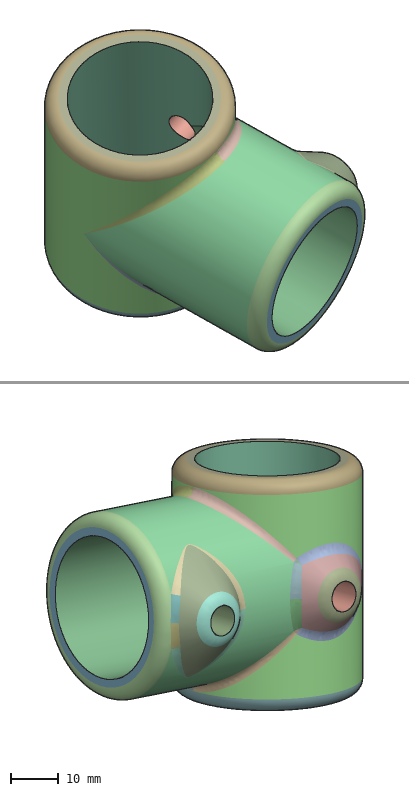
import cadquery as cq
import math

overall_length = 65.0
tube_diameter = 40.0
bore_diameter = 30.4
tube_height = 50.0
end_round = 3.0
junction_fillet = 1.95

boss_height = 25.0
boss_spacing = 33.0
boss_taper = 41.0
boss_top_radius = 4.7
boss_rim_round = 4.0
boss_fillet = 3.0
screw_hole_diameter = 6.5

tube_radius = tube_diameter / 2
branch_length = overall_length - tube_radius
boss_base_height = tube_radius * math.sin(math.radians(boss_taper))


def branch_cylinder(diameter):
    """Cylinder running from the upright axis to the open end of the branch."""
    return cq.Workplane("YZ").circle(diameter / 2).extrude(branch_length)


def upright_cylinder(diameter):
    """Vertical cylinder centred on the branch axis."""
    return cq.Workplane("XY").circle(diameter / 2).extrude(tube_height / 2, both=True)


def boss(x):
    """Tapered boss pointing along +Y, with a rounded rim."""
    cone_height = boss_height - boss_base_height
    base_radius = boss_top_radius + cone_height * math.tan(math.radians(boss_taper))
    profile = [
        (0, boss_base_height),
        (base_radius, boss_base_height),
        (boss_top_radius, boss_height),
        (0, boss_height),
    ]
    cone = cq.Workplane("XY").polyline(profile).close().revolve(360, (0, 0), (0, 1))
    return cone.faces(">Y").edges().fillet(boss_rim_round).translate((x, 0, 0))


def trimmed_to_branch_end(shape):
    """Part of the shape that lies short of the open end of the branch."""
    beyond_end = cq.Workplane("YZ", origin=(branch_length, 0, 0)).circle(overall_length)
    return shape.cut(beyond_end.extrude(branch_length))


def boss_foot(x):
    """Selector for the edges centred in the box that holds one boss and its foot."""
    reach = tube_radius * math.cos(math.radians(boss_taper))
    low_corner = (x - reach, boss_base_height, -reach)
    high_corner = (x + reach, boss_height, reach)
    return cq.selectors.BoxSelector(low_corner, high_corner, boundingbox=True)


def screw_hole(x):
    """Radial hole from the top of a boss to the tube axis."""
    start = cq.Workplane("XZ", origin=(x, 0, 0)).circle(screw_hole_diameter / 2)
    return start.extrude(-boss_height)


upright = upright_cylinder(tube_diameter).faces("<Z or >Z").edges().fillet(end_round)
branch = branch_cylinder(tube_diameter).faces(">X").edges().fillet(end_round)
body = upright.union(branch)
for boss_x in (0, boss_spacing):
    body = body.union(trimmed_to_branch_end(boss(boss_x)))

body = body.edges("%ELLIPSE").fillet(junction_fillet)

for boss_x in (0, boss_spacing):
    body = body.edges(boss_foot(boss_x)).edges("%BSPLINE").fillet(boss_fillet)

body = body.cut(upright_cylinder(bore_diameter)).cut(branch_cylinder(bore_diameter))

for boss_x in (0, boss_spacing):
    body = body.cut(screw_hole(boss_x))

result = body